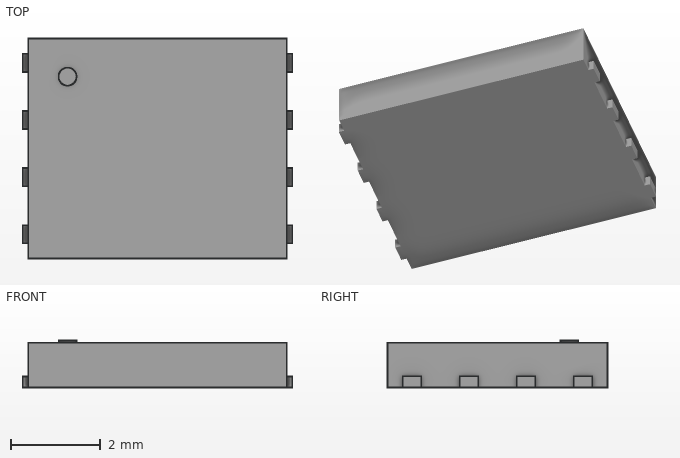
import cadquery as cq

body_length = 5.75
body_width = 4.9
body_height = 1.0

overall_length = 6.0
lead_width = 0.41
lead_height = 0.25
lead_pitch = 1.27
leads_per_side = 4

marker_diameter = 0.4
marker_height = 0.05
marker_x = -2.0
marker_y = 1.6


def make_body():
    return cq.Workplane("XY").box(body_length, body_width, body_height, centered=(True, True, False))


def make_lead_pair(y):
    """One bar through the body whose two ends form a pair of opposite leads."""
    bar = cq.Workplane("XY").box(overall_length, lead_width, lead_height, centered=(True, True, False))
    return bar.translate((0, y, 0))


def make_marker():
    disc = cq.Workplane("XY").circle(marker_diameter / 2).extrude(marker_height)
    return disc.translate((marker_x, marker_y, body_height))


result = make_body().union(make_marker())
first_lead_y = -(leads_per_side - 1) * lead_pitch / 2
for index in range(leads_per_side):
    result = result.union(make_lead_pair(first_lead_y + index * lead_pitch))